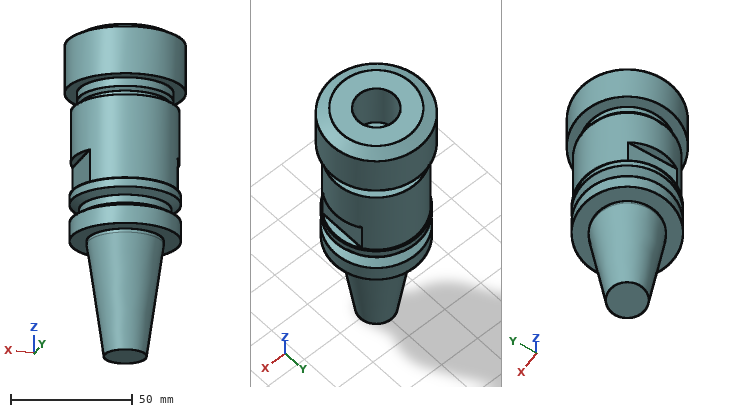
import cadquery as cq

total_height = 138.4

shank_tip_radius = 8.9
shank_gauge_radius = 15.9
shank_taper_top = 48.7

flange_radius = 23.0
flange_bottom = 50.2
lower_rim_top = 58.3
upper_rim_bottom = 66.2
flange_top = 70.3
flange_edge_chamfer = 0.4
groove_radius = 19.1
groove_cone_height = 2.2

body_radius = 22.4
body_top = 106.5
flat_top = 84.4
flat_distance = 19.0

neck_radius = 18.7
neck_top = 109.5
collar_radius = 19.9
collar_bottom = 111.1

nut_diameter = 50.0
nut_radius = nut_diameter / 2
nut_bottom = 114.9
nut_chamfer_height = 3.0
nut_face_radius = 19.4
bore_radius = 10.0
bore_depth = total_height - nut_bottom


def make_turned_body():
    """Revolve the half profile, given as (radius, height), about the Z axis."""
    profile = [
        (0, 0),
        (shank_tip_radius, 0),
        (shank_gauge_radius, shank_taper_top),
        (shank_gauge_radius, flange_bottom),
        (flange_radius, flange_bottom),
        (flange_radius, lower_rim_top),
        (groove_radius, lower_rim_top + groove_cone_height),
        (groove_radius, upper_rim_bottom - groove_cone_height),
        (flange_radius, upper_rim_bottom),
        (flange_radius, flange_top - flange_edge_chamfer),
        (flange_radius - flange_edge_chamfer, flange_top),
        (body_radius, flange_top),
        (body_radius, body_top),
        (neck_radius, body_top),
        (neck_radius, neck_top),
        (collar_radius, collar_bottom),
        (collar_radius, nut_bottom),
        (nut_radius, nut_bottom),
        (nut_radius, total_height - nut_chamfer_height),
        (nut_face_radius, total_height),
        (0, total_height),
    ]
    return cq.Workplane("XZ").polyline(profile).close().revolve(360, (0, 0), (0, 1))


def make_flat_cutter(side):
    """Block that removes the body outside one flat; side is -1 or +1 along X."""
    cutter_depth = nut_radius - flat_distance
    return (
        cq.Workplane("XY", origin=(side * (flat_distance + cutter_depth / 2), 0, flange_top))
        .rect(cutter_depth, 2 * nut_radius)
        .extrude(flat_top - flange_top)
    )


result = make_turned_body()

for side in (-1, 1):
    result = result.cut(make_flat_cutter(side))

bore = cq.Workplane("XY", origin=(0, 0, total_height - bore_depth)).circle(bore_radius).extrude(bore_depth)
result = result.cut(bore)